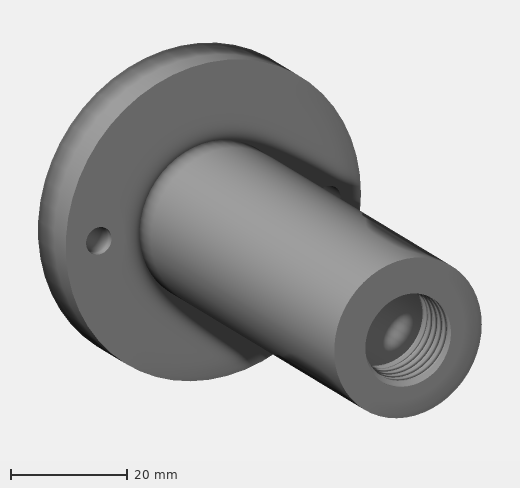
import cadquery as cq
import math

total_length = 80.0
flange_diameter = 58.0
flange_thickness = 10.0
tube_diameter = 29.0

bore_diameter = 26.0
lead_in_diameter = 34.0
lead_in_depth = 4.0
end_wall_thickness = 10.0
bore_depth = total_length - end_wall_thickness

mount_hole_diameter = 5.0
mount_circle_diameter = 45.0

thread_minor_diameter = 16.0
thread_depth = 0.85
thread_pitch = 1.75
thread_flank_angle = 30.0
thread_root_width = thread_pitch / 5
thread_start_angle = 17.0
thread_overrun_turns = 0.9
groove_overlap = 0.1


def revolve_about_x(profile):
    """Revolve a closed (x, radius) outline about the X axis."""
    return cq.Workplane("XY").polyline(profile).close().revolve(360, (0, 0, 0), (1, 0, 0))


def solid_body():
    """Flange and tube, without any opening."""
    return revolve_about_x([
        (0, 0),
        (0, flange_diameter / 2),
        (flange_thickness, flange_diameter / 2),
        (flange_thickness, tube_diameter / 2),
        (total_length, tube_diameter / 2),
        (total_length, 0),
    ])


def centre_opening():
    """Conical lead-in, bore and the thread's minor-diameter hole, as one cutter."""
    return revolve_about_x([
        (0, 0),
        (0, lead_in_diameter / 2),
        (lead_in_depth, bore_diameter / 2),
        (bore_depth, bore_diameter / 2),
        (bore_depth, thread_minor_diameter / 2),
        (total_length, thread_minor_diameter / 2),
        (total_length, 0),
    ])


def mounting_holes():
    """Two opposite holes through the flange."""
    radius = mount_circle_diameter / 2
    holes = cq.Workplane("YZ").pushPoints([(-radius, 0), (radius, 0)])
    return holes.circle(mount_hole_diameter / 2).extrude(flange_thickness)


def thread_groove():
    """Sweep the trapezoidal groove along a helix that overruns both faces of the end wall."""
    minor_radius = thread_minor_diameter / 2
    inner_radius = minor_radius - groove_overlap
    root_radius = minor_radius + thread_depth
    root_half = thread_root_width / 2
    mouth_half = root_half + (root_radius - inner_radius) * math.tan(math.radians(thread_flank_angle))
    overrun = thread_overrun_turns * thread_pitch
    helix_length = end_wall_thickness + 2 * overrun

    helix = cq.Workplane(obj=cq.Wire.makeHelix(thread_pitch, helix_length, minor_radius))
    groove = (
        cq.Workplane("XZ")
        .polyline([
            (inner_radius, -mouth_half),
            (root_radius, -root_half),
            (root_radius, root_half),
            (inner_radius, mouth_half),
        ])
        .close()
        .sweep(helix, isFrenet=True)
    )
    groove = groove.rotate((0, 0, 0), (1, 1, 1), 120)
    groove = groove.rotate((0, 0, 0), (1, 0, 0), thread_start_angle - 360 * thread_overrun_turns)
    return groove.translate((bore_depth - overrun, 0, 0))


result = solid_body().cut(thread_groove()).cut(centre_opening()).cut(mounting_holes())